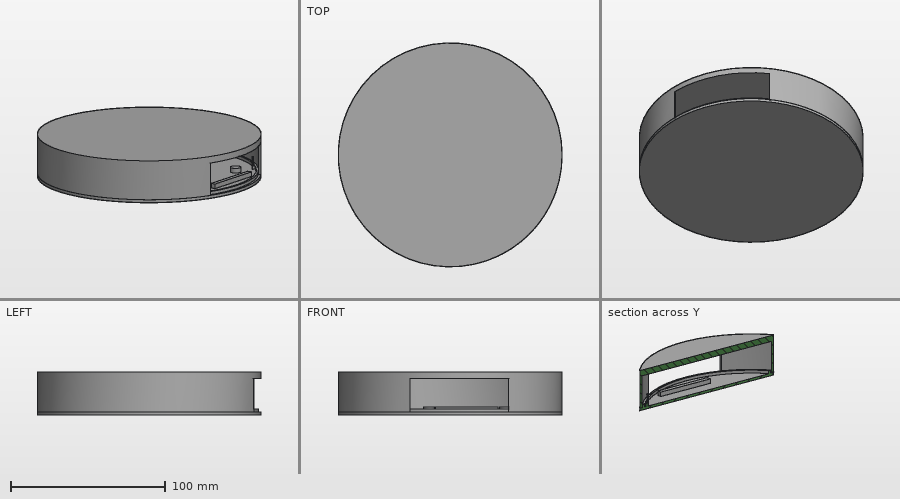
import cadquery as cq

outer_diameter = 145.0
total_height = 28.0

plate_thickness = 2.0
lip_diameter = 141.5
lip_width = 1.5
lip_height = 2.0

support_height = 3.0
support_center_x = 10.7
bar_length = 40.3
bar_width = 3.0
bar_front_y = -59.3
post_diameter = 7.0
post_spacing = 49.0
post_y = -43.5

tab_angle = -45.0
tab_inner_radius = 67.4
tab_thickness = 0.9
tab_width = 2.3
tab_height = 8.0

bore_diameter = 142.0
roof_thickness = 4.4
window_left_x = -26.0
window_right_x = 37.8

outer_radius = outer_diameter / 2
lip_outer_radius = lip_diameter / 2
lip_inner_radius = lip_outer_radius - lip_width
lip_middle_radius = lip_outer_radius - lip_width / 2
shell_height = total_height - plate_thickness
cavity_height = shell_height - roof_thickness
window_width = window_right_x - window_left_x
window_center_x = (window_left_x + window_right_x) / 2


def on_plate(x=0.0, y=0.0):
    """Workplane on the top of the base plate, centred at (x, y)."""
    return cq.Workplane("XY", origin=(x, y, plate_thickness))


def make_lip():
    return on_plate().circle(lip_outer_radius).circle(lip_inner_radius).extrude(lip_height)


def make_bar():
    bar = on_plate(support_center_x, bar_front_y + bar_width / 2)
    return bar.rect(bar_length, bar_width).extrude(support_height)


def make_post(x):
    return on_plate(x, post_y).circle(post_diameter / 2).extrude(support_height)


def make_radial_block(near_radius, far_radius, height):
    """Block of the tab's width that lies along the tab's radial direction."""
    block = on_plate((near_radius + far_radius) / 2)
    block = block.rect(far_radius - near_radius, tab_width).extrude(height)
    return block.rotate((0, 0, 0), (0, 0, 1), tab_angle)


def make_tab():
    """Upright tab with a low foot that ties it to the lip."""
    upright = make_radial_block(tab_inner_radius, tab_inner_radius + tab_thickness, tab_height)
    foot = make_radial_block(tab_inner_radius, lip_middle_radius, lip_height)
    return upright.union(foot)


def make_base():
    base = cq.Workplane("XY").circle(outer_radius).extrude(plate_thickness)
    base = base.union(make_lip()).union(make_bar()).union(make_tab())
    for side in (-1, 1):
        base = base.union(make_post(support_center_x + side * post_spacing / 2))
    return base


def make_housing():
    """Round cover with a closed roof and a window cut through its -Y wall."""
    shell = on_plate().circle(outer_radius).extrude(shell_height)
    cavity = on_plate().circle(bore_diameter / 2).extrude(cavity_height)
    window = on_plate(window_center_x, -outer_radius / 2)
    window = window.rect(window_width, outer_radius).extrude(cavity_height)
    return shell.cut(cavity).cut(window)


base = make_base()
housing = make_housing()
result = cq.Compound.makeCompound([base.val(), housing.val()])